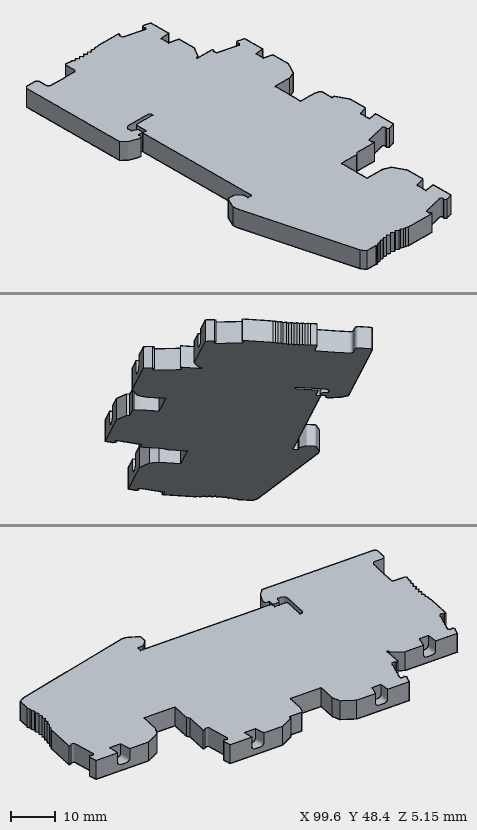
import cadquery as cq
import math

THICKNESS = 5.15
UPPER_TOP = 48.35
TOTAL_LENGTH = 99.58

LOWER_TOP = 37.8
LOWER_LEFT_WALL = 0.0
LOWER_RIGHT_WALL = 99.4
UPPER_LEFT_WALL = 19.2
UPPER_RIGHT_WALL = 70.6

HOOK_CORNERS = [
    (0.0, 8.1, 0.0),
    (0.5, 8.1, 0.0),
    (0.65, 8.4, 0.0),
    (1.55, 8.4, 0.3),
    (3.1, 2.25, 0.4),
    (2.3, 2.25, 0.0),
    (1.95, 2.45, 0.0),
    (1.55, 1.95, 0.0),
    (2.1, 0.0, 0.0),
]

SHOULDER_RUN = 3.3
SHOULDER_DROP = 1.75
SHOULDER_CHEEK_RUN = 0.85
SHOULDER_CHEEK_DROP = 3.75

LEFT_GAP_X = 18.85
LEFT_GAP_BOTTOM = 35.5
MIDDLE_GAP_LEFT = 39.3
MIDDLE_GAP_RIGHT = 47.45
MIDDLE_GAP_BOTTOM = 39.95
RIGHT_GAP_LEFT = 71.15
RIGHT_GAP_RIGHT = 79.3
RIGHT_GAP_BOTTOM = 29.15
RIGHT_GAP_STEP_BOTTOM = 34.0
RIGHT_GAP_STEP_TOP = 34.7
LEDGE_TOP = 45.9
LEDGE_RIGHT = 51.4
LEDGE_CORNER_RUN = 0.7
LEDGE_CORNER_DROP = 1.6

GRIP_TEETH = 8
TOOTH_HEIGHT = 0.6
LEFT_GRIP_TOP = 23.4
LEFT_TOOTH_PITCH = 1.23
LEFT_TIP_SAG = 0.15
RIGHT_GRIP_TOP = 22.2
RIGHT_TOOTH_PITCH = 1.26
RIGHT_TIP_SAG = 0.65
END_RIDGE = 0.2

NOTCH_DEPTH = 3.55
NOTCH_BOTTOM = 3.95
NOTCH_TOP = 12.65
CORNER_RADIUS = 0.4
FOOT_RADIUS = 0.85
NOTCH_KINK = 0.1
NOTCH_KINK_Y = 8.15

RAIL_SEAT = 6.08
RAIL_LEFT = 31.25
RAIL_RIGHT = 65.85
SLOT_LEFT = 27.0
SLOT_RIGHT = 27.95
SLOT_CEILING = 7.25
SLOT_FLOOR = 4.85
SLOT_GAP = 0.1
TAB_LEFT = 29.45
TAB_TOP = 6.3
CLAW_TOP = 4.9
LEFT_CLAW_TIP = 32.3
LEFT_CLAW_SHOULDER_Y = 3.8
LEFT_CLAW_BEVEL_X = 31.4
LEFT_CLAW_BEVEL_Y = 1.4
TAB_FOOT = 29.0
TAB_RADIUS = 0.2
SLOT_TOP_RADIUS = 0.6
SLOT_FLOOR_RADIUS = 1.2
CLAW_RADIUS = 0.5
CLAW_SHOULDER_RADIUS = 0.3
CLAW_BEVEL_RADIUS = 1.0
LEFT_FOOT_END = 30.1
RIGHT_CLAW_TIP = 63.0
RIGHT_CLAW_LOW = 1.4
RIGHT_CLAW_HIGH = 3.4
RIGHT_CLAW_TOP_RUN = 1.5
RIGHT_CLAW_BOTTOM_RUN = 3.0
RIGHT_FOOT_X = 67.1
RIGHT_FOOT_RADIUS = 3.0
RIGHT_SLOPE_X = 98.15
RIGHT_SLOPE_Y = 8.18
RIGHT_WALL_BOTTOM = 9.0

POCKET_INSET = 7.8
POCKET_WIDTH = 3.2
POCKET_FLOOR_RADIUS = 0.95
POCKET_DEPTH = 3.5
LOWER_POCKET_LENGTH = 2.7
UPPER_POCKET_LENGTH = 2.4
LEFT_POCKET_LEANS = (0.25, -0.6)
RIGHT_POCKET_LEANS = (-0.4, -0.75)


def hook(wall, top, inward):
    """Corners of a housing edge, from its side wall up to its top; inward is +1 or -1."""
    return [(wall + inward * inset, top - drop, radius) for inset, drop, radius in HOOK_CORNERS]


def grip(wall, top, inward, pitch, tip_sag):
    """Corners of a toothed grip from top to bottom; the tips follow a shallow hollow."""
    corners = [(wall, top, 0.0)]
    for tooth in range(GRIP_TEETH):
        root = tooth + 0.5
        tip = tooth + 1.0
        for place, height in ((root, TOOTH_HEIGHT), (tip, 0.0)):
            hollow = math.sin(math.pi * place / GRIP_TEETH)
            depth = hollow * (tip_sag + height)
            corners.append((wall + inward * depth, top - place * pitch, 0.0))
    return corners


def outline_corners():
    """Corners (x, y, radius) of the plate, clockwise from the bottom left."""
    left_foot = [
        (0.0, 0.0, FOOT_RADIUS),
        (0.0, NOTCH_BOTTOM, FOOT_RADIUS),
        (NOTCH_DEPTH, NOTCH_BOTTOM, FOOT_RADIUS),
        (NOTCH_DEPTH + NOTCH_KINK, NOTCH_KINK_Y, 0.0),
        (NOTCH_DEPTH, NOTCH_TOP, CORNER_RADIUS),
        (0.0, NOTCH_TOP, CORNER_RADIUS),
    ]
    left_grip = grip(LOWER_LEFT_WALL, LEFT_GRIP_TOP, 1, LEFT_TOOTH_PITCH, LEFT_TIP_SAG)[::-1]
    left_gap = [
        (UPPER_LEFT_WALL - SHOULDER_RUN, LOWER_TOP, 0.0),
        (LEFT_GAP_X, LOWER_TOP - SHOULDER_DROP, 0.0),
        (LEFT_GAP_X, LEFT_GAP_BOTTOM, 0.0),
        (UPPER_LEFT_WALL, LEFT_GAP_BOTTOM, 0.0),
    ]
    middle_gap = [
        (MIDDLE_GAP_LEFT - SHOULDER_CHEEK_RUN - SHOULDER_RUN, UPPER_TOP, 0.0),
        (MIDDLE_GAP_LEFT - SHOULDER_CHEEK_RUN, UPPER_TOP - SHOULDER_DROP, 0.0),
        (MIDDLE_GAP_LEFT, UPPER_TOP - SHOULDER_CHEEK_DROP, 0.0),
        (MIDDLE_GAP_LEFT, MIDDLE_GAP_BOTTOM, 0.0),
        (MIDDLE_GAP_RIGHT, MIDDLE_GAP_BOTTOM, 0.0),
        (MIDDLE_GAP_RIGHT, LEDGE_TOP - LEDGE_CORNER_DROP, 0.0),
        (MIDDLE_GAP_RIGHT + LEDGE_CORNER_RUN / 2, LEDGE_TOP - LEDGE_CORNER_RUN / 2, 0.0),
        (MIDDLE_GAP_RIGHT + LEDGE_CORNER_RUN, LEDGE_TOP, 0.0),
        (LEDGE_RIGHT, LEDGE_TOP, 0.0),
        (LEDGE_RIGHT, UPPER_TOP - SHOULDER_DROP, 0.0),
        (LEDGE_RIGHT + SHOULDER_RUN, UPPER_TOP, 0.0),
    ]
    right_gap = [
        (UPPER_RIGHT_WALL, RIGHT_GAP_STEP_TOP, 0.0),
        (RIGHT_GAP_LEFT, RIGHT_GAP_STEP_BOTTOM, 0.0),
        (RIGHT_GAP_LEFT, RIGHT_GAP_BOTTOM, 0.0),
        (RIGHT_GAP_RIGHT, RIGHT_GAP_BOTTOM, 0.0),
        (RIGHT_GAP_RIGHT, LOWER_TOP - SHOULDER_CHEEK_DROP, 0.0),
        (RIGHT_GAP_RIGHT + SHOULDER_CHEEK_RUN, LOWER_TOP - SHOULDER_DROP, 0.0),
        (RIGHT_GAP_RIGHT + SHOULDER_CHEEK_RUN + SHOULDER_RUN, LOWER_TOP, 0.0),
    ]
    right_grip = grip(LOWER_RIGHT_WALL, RIGHT_GRIP_TOP, -1, RIGHT_TOOTH_PITCH, RIGHT_TIP_SAG)
    right_grip[-1] = (TOTAL_LENGTH, right_grip[-1][1], 0.0)
    right_grip.append((LOWER_RIGHT_WALL, right_grip[-1][1] - END_RIDGE, 0.0))
    right_foot = [
        (LOWER_RIGHT_WALL, RIGHT_WALL_BOTTOM, 0.0),
        (RIGHT_SLOPE_X, RIGHT_SLOPE_Y, 0.0),
        (RIGHT_FOOT_X, 0.0, RIGHT_FOOT_RADIUS),
        (RIGHT_CLAW_TIP + RIGHT_CLAW_BOTTOM_RUN, 0.0, 0.0),
        (RIGHT_CLAW_TIP, RIGHT_CLAW_LOW, CLAW_RADIUS),
        (RIGHT_CLAW_TIP, RIGHT_CLAW_HIGH, CLAW_RADIUS),
        (RIGHT_CLAW_TIP + RIGHT_CLAW_TOP_RUN, CLAW_TOP, 0.0),
        (RAIL_RIGHT, CLAW_TOP, 0.0),
        (RAIL_RIGHT, RAIL_SEAT, 0.0),
    ]
    slot_and_left_claw = [
        (RAIL_LEFT, RAIL_SEAT, 0.0),
        (RAIL_LEFT, SLOT_CEILING, 0.0),
        (SLOT_RIGHT, SLOT_CEILING, CORNER_RADIUS),
        (SLOT_RIGHT, NOTCH_TOP, 0.0),
        (SLOT_LEFT, NOTCH_TOP, SLOT_TOP_RADIUS),
        (SLOT_LEFT, SLOT_FLOOR, SLOT_FLOOR_RADIUS),
        (TAB_FOOT, SLOT_FLOOR, TAB_RADIUS),
        (TAB_LEFT, TAB_TOP, TAB_RADIUS),
        (RAIL_LEFT - SLOT_GAP, TAB_TOP, 0.0),
        (RAIL_LEFT - SLOT_GAP, CLAW_TOP, 0.0),
        (LEFT_CLAW_TIP, CLAW_TOP, CLAW_RADIUS),
        (LEFT_CLAW_TIP, LEFT_CLAW_SHOULDER_Y, CLAW_SHOULDER_RADIUS),
        (LEFT_CLAW_BEVEL_X, LEFT_CLAW_BEVEL_Y, CLAW_BEVEL_RADIUS),
        (LEFT_FOOT_END, 0.0, 0.0),
    ]
    return (
        left_foot
        + left_grip
        + hook(LOWER_LEFT_WALL, LOWER_TOP, 1)
        + left_gap
        + hook(UPPER_LEFT_WALL, UPPER_TOP, 1)
        + middle_gap
        + hook(UPPER_RIGHT_WALL, UPPER_TOP, -1)[::-1]
        + right_gap
        + hook(LOWER_RIGHT_WALL, LOWER_TOP, -1)[::-1]
        + right_grip
        + right_foot
        + slot_and_left_claw
    )


def rounded_corner(before, corner, after, radius):
    """Start, middle and end of the arc that rounds a corner."""
    point = cq.Vector(*corner)
    back = (cq.Vector(*before) - point).normalized()
    ahead = (cq.Vector(*after) - point).normalized()
    half_angle = back.getAngle(ahead) / 2
    reach = radius / math.tan(half_angle)
    bisector = (back + ahead).normalized()
    middle = point + bisector * (radius / math.sin(half_angle) - radius)
    return point + back * reach, middle, point + ahead * reach


def rounded_plate(corners):
    """Extrude a closed outline whose corners carry their own radii."""
    count = len(corners)
    sketch = cq.Workplane("XY").moveTo(*corners[-1][:2])
    for index, (x, y, radius) in enumerate(corners):
        if radius == 0.0:
            sketch = sketch.lineTo(x, y)
            continue
        before = corners[index - 1][:2]
        after = corners[(index + 1) % count][:2]
        start, middle, end = rounded_corner(before, (x, y), after, radius)
        sketch = sketch.lineTo(start.x, start.y).threePointArc((middle.x, middle.y), (end.x, end.y))
    return sketch.close().extrude(THICKNESS)


def marker_pocket(wall, top, inward, length, leans):
    """Tapered pocket open at the rim and the upper face, with rounded floor edges."""
    outer = wall + inward * POCKET_INSET
    inner = outer + inward * POCKET_WIDTH
    outer_lean, inner_lean = leans
    mouth_to_end = [
        (outer, top),
        (inner, top),
        (inner + inward * inner_lean, top - length),
        (outer + inward * outer_lean, top - length),
    ]
    pocket = cq.Workplane("XY", origin=(0, 0, THICKNESS)).polyline(mouth_to_end).close()
    pocket = pocket.extrude(-POCKET_DEPTH)
    return pocket.faces("<Z").edges("not |X").fillet(POCKET_FLOOR_RADIUS)


result = rounded_plate(outline_corners())

POCKETS = [
    (LOWER_LEFT_WALL, LOWER_TOP, 1, LOWER_POCKET_LENGTH, LEFT_POCKET_LEANS),
    (UPPER_LEFT_WALL, UPPER_TOP, 1, UPPER_POCKET_LENGTH, LEFT_POCKET_LEANS),
    (UPPER_RIGHT_WALL, UPPER_TOP, -1, UPPER_POCKET_LENGTH, RIGHT_POCKET_LEANS),
    (LOWER_RIGHT_WALL, LOWER_TOP, -1, LOWER_POCKET_LENGTH, RIGHT_POCKET_LEANS),
]
for pocket_place in POCKETS:
    result = result.cut(marker_pocket(*pocket_place))